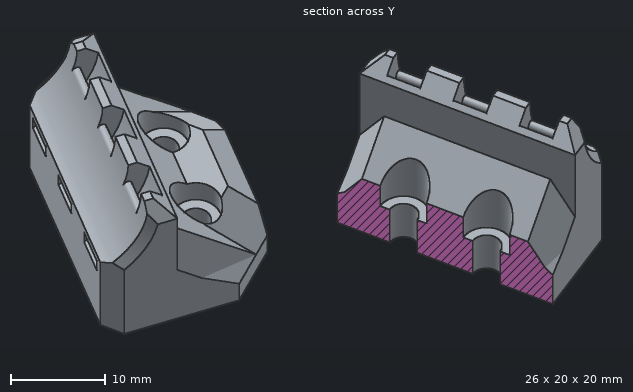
import cadquery as cq
import math

width = 26.0
depth = 20.0
height = 20.0

front_corner = 2.0
back_corner = 5.0

wall_back = 8.0
wall_top_chamfer = 2.0
cradle_radius = 10.0
cradle_lip_y = 5.0
cradle_y = cradle_lip_y - cradle_radius
cradle_end_chamfer = 1.0

foot_height = 8.0
foot_back_chamfer = 3.0
foot_corner_chamfer = 5.0

gusset_height = 13.0
gusset_side_chamfer = 3.0

screw_spacing = 10.0
screw_y = 13.0
screw_diameter = 3.3
head_diameter = 5.6
head_seat_z = 5.0

slot_width = 4.0
slot_pitch = 7.98
slot_thickness = 1.5
bridge_thickness = 1.0
slot_inner_radius = cradle_radius + bridge_thickness
slot_outer_radius = slot_inner_radius + slot_thickness
bridge_angle = 19.0


def along_x(length):
    """YZ workplane from which a solid of the given length is centred on X = 0."""
    return cq.Workplane("YZ", origin=(-length / 2, 0, 0))


def cradle_cylinder(radius, length):
    return along_x(length).center(cradle_y, height).circle(radius).extrude(length)


def plan_prism():
    block = cq.Workplane("XY").box(width, depth, height, centered=(True, False, False))
    block = block.faces("<Y").edges("|Z").chamfer(front_corner)
    return block.faces(">Y").edges("|Z").chamfer(back_corner)


def make_wall():
    wall = cq.Workplane("XY").box(width, wall_back, height, centered=(True, False, False))
    wall = wall.faces(">Z").edges(">Y or <X or >X").chamfer(wall_top_chamfer)
    wall = wall.cut(cradle_cylinder(cradle_radius, width))
    for side in (-1, 1):
        bevel = (
            cq.Workplane("YZ", origin=(side * width / 2, 0, 0))
            .center(cradle_y, height)
            .circle(cradle_radius + cradle_end_chamfer)
            .workplane(offset=-side * cradle_end_chamfer)
            .circle(cradle_radius)
            .loft(ruled=True)
        )
        wall = wall.cut(bevel)
    return wall


def make_foot():
    foot = cq.Workplane("XY").box(width, depth, foot_height, centered=(True, False, False))
    foot = foot.faces(">Y").edges("|Z").chamfer(back_corner)
    for side in (-1, 1):
        middle = (side * (width - back_corner) / 2, depth - back_corner / 2, foot_height)
        foot = foot.edges(cq.selectors.NearestToPointSelector(middle)).chamfer(foot_corner_chamfer)
    return foot.faces(">Y").edges(">Z").chamfer(foot_back_chamfer)


def make_gusset():
    gusset = (
        along_x(width)
        .moveTo(wall_back, 0)
        .lineTo(wall_back, gusset_height)
        .lineTo(wall_back + gusset_height, 0)
        .close()
        .extrude(width)
    )
    slope = gusset.faces(cq.selectors.DirectionMinMaxSelector(cq.Vector(0, 1, 1)))
    return slope.edges("<X or >X").chamfer(gusset_side_chamfer)


def make_slot():
    """Curved slot, opened to the cradle above the rounded end of its bridge."""
    angle = math.radians(bridge_angle)
    ring = cradle_cylinder(slot_outer_radius, slot_width)
    ring = ring.cut(cradle_cylinder(slot_inner_radius, slot_width))

    reach = slot_outer_radius
    opening = (
        along_x(slot_width)
        .moveTo(cradle_y, height)
        .lineTo(cradle_y + reach, height)
        .lineTo(cradle_y + reach, height - reach * math.tan(angle))
        .close()
        .extrude(slot_width)
        .intersect(cradle_cylinder(slot_inner_radius, slot_width))
    )
    end_radius = bridge_thickness / 2
    end_distance = cradle_radius + end_radius
    rounded_end = (
        along_x(slot_width)
        .center(cradle_y + end_distance * math.cos(angle), height - end_distance * math.sin(angle))
        .circle(end_radius)
        .extrude(slot_width)
    )
    return ring.union(opening.cut(rounded_end))


def make_screw_hole():
    shank = cq.Workplane("XY").circle(screw_diameter / 2).extrude(height)
    head = cq.Workplane("XY", origin=(0, 0, head_seat_z)).circle(head_diameter / 2).extrude(height)
    return shank.union(head)


body = make_wall().union(make_foot()).union(make_gusset()).intersect(plan_prism())

slot = make_slot()
for index in (-1, 0, 1):
    body = body.cut(slot.translate((index * slot_pitch, 0, 0)))

screw_hole = make_screw_hole()
for side in (-1, 1):
    body = body.cut(screw_hole.translate((side * screw_spacing / 2, screw_y, 0)))

result = body